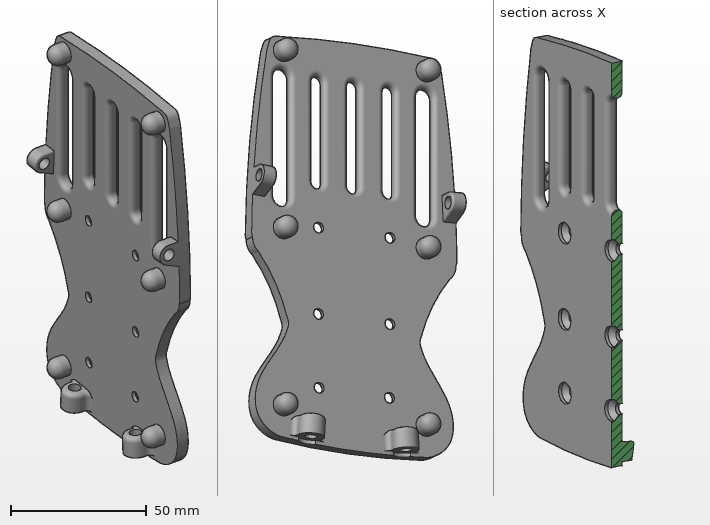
import cadquery as cq
import math

PLATE_THICKNESS = 5.0
PLATE_HEIGHT = 155.3
PLATE_WIDTH = 86.2
PLATE_HALF_WIDTH = PLATE_WIDTH / 2

BOTTOM_EDGE_END = (31.0, 1.5)
RIGHT_SIDE = [
    ("arc", [(37.0, 4.3), (40.2, 8.2)]),
    ("spline", [(41.6, 14.7), (39.9, 22.5), (34.8, 31.0), (28.1, 42.9)]),
    ("arc", [(27.6, 45.0), (28.1, 47.0)]),
    ("arc", [(32.6, 58.8), (40.2, 70.8)]),
    ("arc", [(41.9, 72.8), (42.7, 76.0)]),
    ("arc", [(43.0, 77.0), (PLATE_HALF_WIDTH, 78.0)]),
    ("arc", [(41.3, 113.3), (36.6, 148.6)]),
    ("spline", [(35.5, 151.8), (34.6, 153.2), (33.2, 153.9), (31.0, 154.0)]),
]

PEG_RADIUS = 4.0
PEG_LENGTH = 7.0
PEG_DOME_RADIUS = 3.5
PEG_OFFSET = 30.0
PEG_LOWEST = 13.5
PEG_SPACING = 67.5

SLOT_PITCH = PEG_OFFSET / 2
SLOT_TOP_CENTER = 138.6
NARROW_SLOT_WIDTH = 5.0
NARROW_SLOT_BOTTOM_CENTER = 100.9
WIDE_SLOT_WIDTH = 7.0
WIDE_SLOT_BOTTOM_CENTER = 93.3
SLOT_EDGE_RADIUS = 2.0

HOLE_DIAMETER = 4.0
COUNTERSINK_DIAMETER = 8.0
COUNTERSINK_RECESS = 1.4
HOLE_PLACES = [(SLOT_PITCH, 83.2), (SLOT_PITCH, 50.3), (14.7, 22.2)]

SIDE_LUG_RADIUS = 4.0
SIDE_LUG_REACH = 8.4
SIDE_LUG_HOLE_DIAMETER = 4.7
SIDE_LUG_HEIGHT = 98.5
SIDE_LUG_FOOT = 92.0
SIDE_LUG_INNER_FACE = 37.0
SIDE_LUG_RIM_RADIUS = 0.8
SIDE_LUG_TILT = 3

BOTTOM_LUG_RADIUS = 5.0
BOTTOM_LUG_REACH = 8.0
BOTTOM_LUG_AXIS = BOTTOM_LUG_RADIUS - BOTTOM_LUG_REACH
BOTTOM_LUG_HOLE_DIAMETER = 4.7
BOTTOM_LUG_OFFSET = 19.9
BOTTOM_LUG_BASE = 2.2
BOTTOM_LUG_LENGTH = 8.0
BOTTOM_LUG_FILLET = 2.0
BOTTOM_LUG_TILT = 3.5
SCREW_HEAD_DIAMETER = 9.5
SCREW_HEAD_CLEARANCE = 6.2

EMBED = 1.5


def mirrored(solid):
    """Return the solid together with its mirror image across the centre plane."""
    return solid.union(solid.mirror("YZ"))


def add_curve(outline, kind, points):
    """Continue the outline with an arc or a smooth curve through the points."""
    if kind == "arc":
        return outline.threePointArc(*points)
    return outline.spline(points, includeCurrent=True)


def plate_outline():
    """Waisted outline, symmetric about x = 0, drawn up the right side and down the left."""
    outline = (
        cq.Workplane("XZ")
        .moveTo(-BOTTOM_EDGE_END[0], BOTTOM_EDGE_END[1])
        .threePointArc((0, 0), BOTTOM_EDGE_END)
    )
    for kind, points in RIGHT_SIDE:
        outline = add_curve(outline, kind, points)
    top_right = RIGHT_SIDE[-1][1][-1]
    outline = outline.threePointArc((0, PLATE_HEIGHT), (-top_right[0], top_right[1]))
    starts = [BOTTOM_EDGE_END] + [points[-1] for _, points in RIGHT_SIDE[:-1]]
    for start, (kind, points) in reversed(list(zip(starts, RIGHT_SIDE))):
        left_points = [(-x, z) for x, z in reversed([start] + points[:-1])]
        outline = add_curve(outline, kind, left_points)
    return outline.close()


def slot_cutter(x, width, bottom_center):
    """Upright slot with round ends, running through the plate."""
    length = SLOT_TOP_CENTER - bottom_center
    center = (SLOT_TOP_CENTER + bottom_center) / 2
    return (
        cq.Workplane("XZ", origin=(x, 0, center))
        .slot2D(length + width, width, 90)
        .extrude(-PLATE_THICKNESS)
    )


def screw_hole_cutter(x, z):
    """Through hole whose back end opens in a 90 degree cone and a short cylinder for a screw head."""
    hole_radius = HOLE_DIAMETER / 2
    head_radius = COUNTERSINK_DIAMETER / 2
    cone_end = PLATE_THICKNESS - COUNTERSINK_RECESS
    cone_start = cone_end - (head_radius - hole_radius)
    return (
        cq.Workplane("XY")
        .lineTo(hole_radius, 0)
        .lineTo(hole_radius, cone_start)
        .lineTo(head_radius, cone_end)
        .lineTo(head_radius, PLATE_THICKNESS)
        .lineTo(0, PLATE_THICKNESS)
        .close()
        .revolve(360, (0, 0), (0, 1))
        .translate((x, 0, z))
    )


def peg(x, z):
    """Round peg with a domed end that leaves a tiny flat at its tip."""
    return (
        cq.Workplane("XZ", origin=(x, EMBED, z))
        .circle(PEG_RADIUS)
        .extrude(PEG_LENGTH + EMBED)
        .faces("<Y")
        .edges()
        .fillet(PEG_DOME_RADIUS)
    )


def side_lug():
    """Lug with a round nose and a sloping underside, cut flush with the side of the plate."""
    center_y = SIDE_LUG_RADIUS - SIDE_LUG_REACH
    foot_drop = SIDE_LUG_HEIGHT - SIDE_LUG_FOOT
    slope = math.atan2(foot_drop, -center_y) - math.asin(SIDE_LUG_RADIUS / math.hypot(center_y, foot_drop))
    tangent_y = center_y - SIDE_LUG_RADIUS * math.sin(slope)
    tangent_z = -SIDE_LUG_RADIUS * math.cos(slope)
    lug = (
        cq.Workplane("YZ")
        .moveTo(EMBED, SIDE_LUG_RADIUS)
        .lineTo(center_y, SIDE_LUG_RADIUS)
        .threePointArc((-SIDE_LUG_REACH, 0), (tangent_y, tangent_z))
        .lineTo(0, -foot_drop)
        .lineTo(EMBED, -foot_drop)
        .close()
        .extrude(PLATE_HALF_WIDTH - SIDE_LUG_INNER_FACE + EMBED)
        .faces("<X")
        .edges("not >Y")
        .fillet(SIDE_LUG_RIM_RADIUS)
        .faces(">X")
        .workplane(origin=(0, center_y, 0))
        .hole(SIDE_LUG_HOLE_DIAMETER)
        .rotate((0, 0, 0), (0, 1, 0), -SIDE_LUG_TILT)
        .translate((SIDE_LUG_INNER_FACE, 0, SIDE_LUG_HEIGHT))
    )
    return lug.intersect(plate_outline().extrude(SIDE_LUG_REACH + EMBED, both=True))


def place_bottom_lug(solid):
    """Tilt a solid built upright at the origin and move it to the right-hand lug position."""
    tilted = solid.rotate((0, 0, 0), (0, 1, 0), -BOTTOM_LUG_TILT)
    return tilted.translate((BOTTOM_LUG_OFFSET, 0, BOTTOM_LUG_BASE))


def flare_cutter(side):
    """Round cutter that hollows the foot on one side and rounds the rim above the hollow."""
    fillet = BOTTOM_LUG_FILLET
    length = BOTTOM_LUG_LENGTH
    diagonal = math.sqrt(0.5)
    return (
        cq.Workplane("XZ")
        .lineTo(fillet, 0)
        .lineTo(fillet, length - fillet)
        .threePointArc((fillet * (2 - diagonal), length - fillet * (1 - diagonal)), (2 * fillet, length))
        .lineTo(0, length)
        .close()
        .revolve(360, (0, 0), (0, 1))
        .translate((side * (BOTTOM_LUG_RADIUS + fillet), -fillet, 0))
    )


def bottom_lug():
    """U-shaped lug with hollowed feet and a rounded top rim."""
    radius = BOTTOM_LUG_RADIUS
    fillet = BOTTOM_LUG_FILLET
    lug = (
        cq.Workplane("XY")
        .moveTo(-radius, EMBED)
        .lineTo(-radius, BOTTOM_LUG_AXIS)
        .threePointArc((0, -BOTTOM_LUG_REACH), (radius, BOTTOM_LUG_AXIS))
        .lineTo(radius, EMBED)
        .close()
        .extrude(BOTTOM_LUG_LENGTH)
        .faces(">Z")
        .edges("not >Y")
        .fillet(fillet)
    )
    feet = cq.Workplane("XY").box(
        2 * (radius + fillet), fillet + EMBED, BOTTOM_LUG_LENGTH, centered=(True, False, False)
    )
    lug = lug.union(feet.translate((0, -fillet, 0)))
    for side in (-1, 1):
        lug = lug.cut(flare_cutter(side))
    return place_bottom_lug(lug)


def bottom_lug_cutter(diameter, start, length):
    """Cylinder on the lug axis, its start measured from the underside of the lug."""
    return place_bottom_lug(
        cq.Workplane("XY", origin=(0, BOTTOM_LUG_AXIS, start)).circle(diameter / 2).extrude(length)
    )


def cut_slots(body):
    """Cut the five slots and round their mouths on both faces of the plate."""
    for index in range(-2, 3):
        if abs(index) == 2:
            cutter = slot_cutter(index * SLOT_PITCH, WIDE_SLOT_WIDTH, WIDE_SLOT_BOTTOM_CENTER)
        else:
            cutter = slot_cutter(index * SLOT_PITCH, NARROW_SLOT_WIDTH, NARROW_SLOT_BOTTOM_CENTER)
        body = body.cut(cutter)
    slot_region = cq.selectors.BoxSelector(
        (-PLATE_HALF_WIDTH, -EMBED, WIDE_SLOT_BOTTOM_CENTER),
        (PLATE_HALF_WIDTH, PLATE_THICKNESS + EMBED, SLOT_TOP_CENTER),
    )
    for face in ("<Y", ">Y"):
        body = body.faces(face).wires(slot_region).fillet(SLOT_EDGE_RADIUS)
    return body


result = cut_slots(plate_outline().extrude(-PLATE_THICKNESS))
for x, z in HOLE_PLACES:
    result = result.cut(mirrored(screw_hole_cutter(x, z)))
for row in range(3):
    result = result.union(mirrored(peg(PEG_OFFSET, PEG_LOWEST + row * PEG_SPACING)))
result = result.union(mirrored(side_lug()))

head_clearance = bottom_lug_cutter(SCREW_HEAD_DIAMETER, -SCREW_HEAD_CLEARANCE, SCREW_HEAD_CLEARANCE)
lug_hole = bottom_lug_cutter(BOTTOM_LUG_HOLE_DIAMETER, -EMBED, BOTTOM_LUG_LENGTH + 2 * EMBED)
result = result.cut(mirrored(head_clearance))
result = result.union(mirrored(bottom_lug()))
result = result.cut(mirrored(lug_hole))